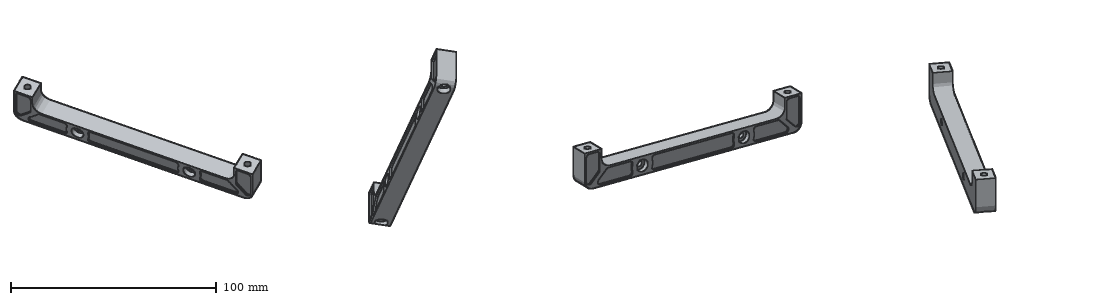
import cadquery as cq
import math

length = 128.0
depth = 10.0
height = 2 * depth
bar_height = depth
leg_width = depth
corner_radius = depth / 2
half_length = length / 2

hole_diameter = 3.2
counterbore_diameter = 6.4
counterbore_depth = 3.0
front_hole_x = 30.0
front_hole_z = bar_height / 2
leg_hole_x = half_length - leg_width / 2

pocket_depth = 1.0
wall = 1.0
pocket_radius = 1.7
hole_land_radius = 6.0
bar_pocket_bottom = wall
bar_pocket_top = bar_height - wall
land_half_width = math.sqrt(hole_land_radius**2 - (bar_pocket_top - front_hole_z) ** 2)
diagonal_rib = 2.5
leg_diagonal_end = 0.3


def build_body():
    """U-shaped bracket with rounded outer and inner corners."""
    inner_x = half_length - leg_width
    profile = [
        (-half_length, 0),
        (half_length, 0),
        (half_length, height),
        (inner_x, height),
        (inner_x, bar_height),
        (-inner_x, bar_height),
        (-inner_x, height),
        (-half_length, height),
    ]
    body = cq.Workplane("XZ").polyline(profile).close().extrude(-depth)
    body = body.edges("|Y and <Z").fillet(corner_radius)
    inner_corners = cq.selectors.BoxSelector(
        (-leg_hole_x, 0, bar_height / 2), (leg_hole_x, depth, (bar_height + height) / 2)
    )
    return body.edges("|Y").edges(inner_corners).fillet(corner_radius)


def pocket_cutter(outline):
    """Pocket from a closed front-face outline, with its corners rounded."""
    return outline.close().extrude(-pocket_depth).edges("|Y").fillet(pocket_radius)


def leg_pocket():
    """Left leg pocket, cut off at 45 degrees towards the bottom corner."""
    outer_x = -half_length + wall
    inner_x = -half_length + leg_width - wall
    outline = cq.Workplane("XZ").polyline([
        (outer_x, height - wall),
        (inner_x, height - wall),
        (inner_x, leg_diagonal_end + inner_x - outer_x),
        (outer_x, leg_diagonal_end),
    ])
    return pocket_cutter(outline)


def side_pocket():
    """Left bar pocket, from the diagonal rib to the round land of the front hole."""
    diagonal_x = -half_length + wall - leg_diagonal_end + diagonal_rib * math.sqrt(2)
    land_x = -front_hole_x - land_half_width
    outline = (
        cq.Workplane("XZ")
        .moveTo(diagonal_x + bar_pocket_bottom, bar_pocket_bottom)
        .lineTo(land_x, bar_pocket_bottom)
        .threePointArc((-front_hole_x - hole_land_radius, front_hole_z), (land_x, bar_pocket_top))
        .lineTo(diagonal_x + bar_pocket_top, bar_pocket_top)
    )
    return pocket_cutter(outline)


def centre_pocket():
    """Bar pocket between the round lands of the two front holes."""
    end_x = front_hole_x - land_half_width
    waist_x = front_hole_x - hole_land_radius
    outline = (
        cq.Workplane("XZ")
        .moveTo(-end_x, bar_pocket_bottom)
        .lineTo(end_x, bar_pocket_bottom)
        .threePointArc((waist_x, front_hole_z), (end_x, bar_pocket_top))
        .lineTo(-end_x, bar_pocket_top)
        .threePointArc((-waist_x, front_hole_z), (-end_x, bar_pocket_bottom))
    )
    return pocket_cutter(outline)


def drill_front_holes(body):
    """Counterbored holes through the bar, along Y."""
    centres = [(x, front_hole_z) for x in (-front_hole_x, front_hole_x)]
    holes = cq.Workplane("XZ").pushPoints(centres).circle(hole_diameter / 2).extrude(-depth)
    bores = (
        cq.Workplane("XZ").pushPoints(centres)
        .circle(counterbore_diameter / 2).extrude(-counterbore_depth)
    )
    return body.cut(holes).cut(bores)


def drill_leg_holes(body):
    """Vertical holes through the legs, counterbored from the underside."""
    centres = [(x, depth / 2) for x in (-leg_hole_x, leg_hole_x)]
    holes = cq.Workplane("XY").pushPoints(centres).circle(hole_diameter / 2).extrude(height)
    bores = (
        cq.Workplane("XY").pushPoints(centres)
        .circle(counterbore_diameter / 2).extrude(counterbore_depth)
    )
    return body.cut(holes).cut(bores)


result = build_body()
for left_pocket in (leg_pocket(), side_pocket()):
    result = result.cut(left_pocket).cut(left_pocket.mirror("YZ"))
result = result.cut(centre_pocket())
result = drill_front_holes(result)
result = drill_leg_holes(result)